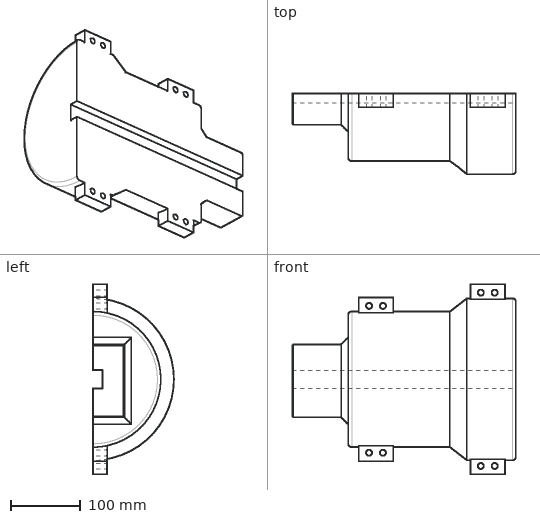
import cadquery as cq

length = 320.0
body_radius = 97.0
bell_radius = 116.0
body_start = 80.0
cone_start = 225.5
cone_end = 250.0
rim_fillet = 5.0

neck_depth = 45.0
neck_half_height = 52.0
neck_drop = 2.2
neck_chamfer = 2.0
flare = 10.0

lug_length = 50.0
lug_thickness = 20.0
lug_rise = 20.0
body_lug_x = 95.0
bell_lug_x = 254.7
hole_diameter = 8.3
hole_spacing = 20.0
hole_inset = 12.0

slot_width = 26.0
slot_depth = 13.5


def box(x_start, x_size, depth, z_low, z_size):
    """Block whose rear face lies on the parting face."""
    return cq.Workplane("XY").box(x_size, depth, z_size, centered=False).translate((x_start, -depth, z_low))


def make_body():
    """Half revolution of barrel, cone and bell with rounded end rims."""
    profile = (
        cq.Workplane("XY")
        .moveTo(body_start, 0)
        .lineTo(body_start, body_radius)
        .lineTo(cone_start, body_radius)
        .lineTo(cone_end, bell_radius)
        .lineTo(length, bell_radius)
        .lineTo(length, 0)
        .close()
    )
    solid = profile.revolve(360, (0, 0, 0), (1, 0, 0))
    solid = solid.faces("<X or >X").edges().fillet(rim_fillet)
    half = box(0, length, bell_radius, -bell_radius, 2 * bell_radius)
    return solid.intersect(half)


def make_neck():
    """Rectangular neck, chamfered at its free end."""
    neck = box(0, body_start, neck_depth, -neck_half_height - neck_drop, 2 * neck_half_height)
    return neck.faces("<X").edges("<Y or <Z or >Z").chamfer(neck_chamfer)


def make_flare():
    """45 degree collar widening the neck where it meets the body."""
    depth = neck_depth + flare
    half_height = neck_half_height + flare
    collar = box(body_start - flare, 2 * flare, depth, -half_height - neck_drop, 2 * half_height)
    return collar.faces("<X").edges("<Y or <Z or >Z").chamfer(flare)


def make_lug_pair(x_start, radius):
    """Two mirrored bolt lugs, each with two holes, on a barrel of the given radius."""
    top = radius + lug_rise
    bar = box(x_start, lug_length, lug_thickness, -top, 2 * top)
    x_middle = x_start + lug_length / 2
    hole_z = top - hole_inset
    centers = [
        (x_middle + side * hole_spacing / 2, end * hole_z)
        for side in (-1, 1)
        for end in (-1, 1)
    ]
    holes = cq.Workplane("XZ").pushPoints(centers).circle(hole_diameter / 2).extrude(lug_thickness)
    return bar.cut(holes)


slot = box(0, length, slot_depth, -slot_width / 2, slot_width)

result = (
    make_body()
    .union(make_neck())
    .union(make_flare())
    .union(make_lug_pair(body_lug_x, body_radius))
    .union(make_lug_pair(bell_lug_x, bell_radius))
    .cut(slot)
)